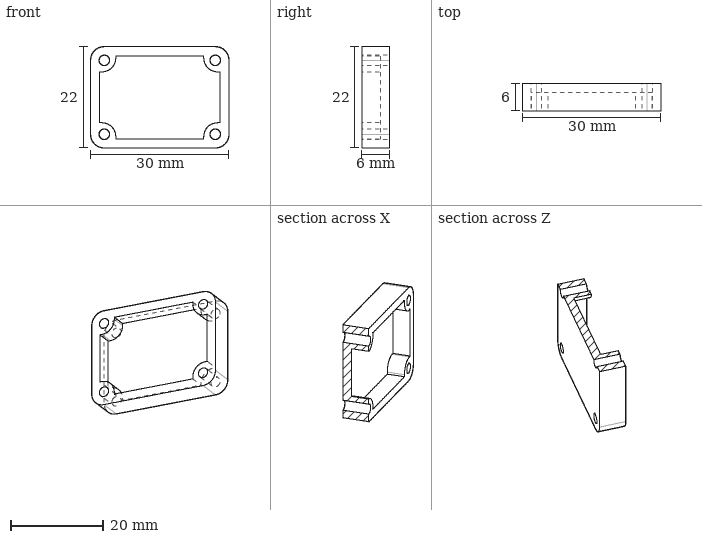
import cadquery as cq

length = 30.0
depth = 6.0
height = 22.0
corner_radius = 3.0

wall = 2.0
floor_thickness = 2.0
cavity_depth = depth - floor_thickness
cavity_length = length - 2 * wall
cavity_height = height - 2 * wall

hole_diameter = 2.22
hole_inset = 3.0
post_reach = 5.5
post_radius = 3.0


def box_from_front(size_x, size_z, size_y):
    """Block centred on the Y axis, running from the open face toward +Y."""
    return cq.Workplane("XZ").rect(size_x, size_z).extrude(-size_y)


def corner_post(side_x, side_z):
    """Square block in one outer corner, rounded on its inward edge."""
    center_x = side_x * (length - post_reach) / 2
    center_z = side_z * (height - post_reach) / 2
    inward_x = "<X" if side_x > 0 else ">X"
    inward_z = "<Z" if side_z > 0 else ">Z"
    return (
        cq.Workplane("XZ")
        .center(center_x, center_z)
        .rect(post_reach, post_reach)
        .extrude(-depth)
        .edges("|Y")
        .edges(inward_x)
        .edges(inward_z)
        .fillet(post_radius)
    )


cavity = box_from_front(cavity_length, cavity_height, cavity_depth)
for side_x in (-1, 1):
    for side_z in (-1, 1):
        cavity = cavity.cut(corner_post(side_x, side_z))

body = box_from_front(length, height, depth).edges("|Y").fillet(corner_radius)
body = body.cut(cavity)

holes = (
    cq.Workplane("XZ")
    .rect(length - 2 * hole_inset, height - 2 * hole_inset, forConstruction=True)
    .vertices()
    .circle(hole_diameter / 2)
    .extrude(-depth)
)

result = body.cut(holes)